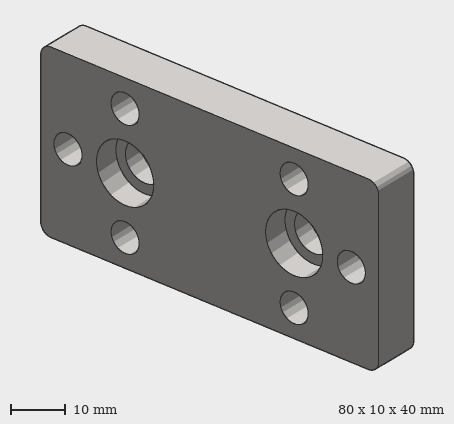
import cadquery as cq

length = 80.0
thickness = 10.0
height = length / 2
corner_radius = 2.5

main_spacing = length / 2
bore_diameter = 9.0
counterbore_diameter = 13.5
counterbore_depth = 5.5
small_diameter = 6.6
small_offset = 13.5

main_x = main_spacing / 2
main_points = [(-main_x, 0), (main_x, 0)]

small_points = []
for side in (-1, 1):
    small_points.append((side * (main_x + small_offset), 0))
    small_points.append((side * main_x, small_offset))
    small_points.append((side * main_x, -small_offset))

plate = cq.Workplane("XY").box(length, thickness, height)
plate = plate.edges("|Y").fillet(corner_radius)

plate = (
    plate.faces("<Y")
    .workplane(centerOption="CenterOfBoundBox")
    .pushPoints(main_points)
    .cboreHole(bore_diameter, counterbore_diameter, counterbore_depth)
)
result = (
    plate.faces("<Y")
    .workplane(centerOption="CenterOfBoundBox")
    .pushPoints(small_points)
    .hole(small_diameter)
)